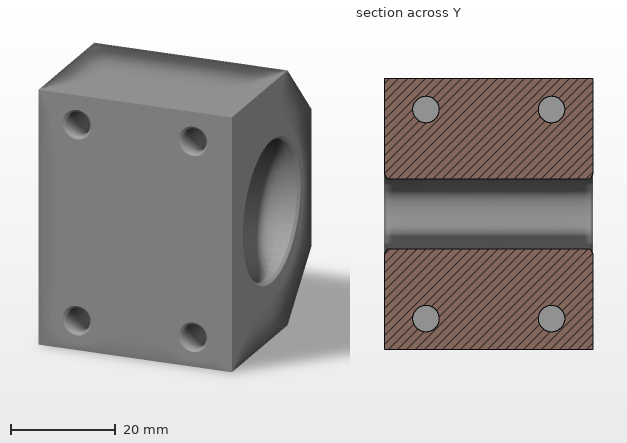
import cadquery as cq

width = 40.0
depth = 40.0
height = 52.0
corner_cut = 12.0

bore_diameter = 28.0
bore_chamfer = 0.5

hole_diameter = 5.0
hole_mouth_diameter = 6.0
hole_depth = 15.0
hole_spacing_x = 24.0
hole_spacing_z = 40.0


def make_block():
    """Rectangular block with both rear edges cut at 45 degrees."""
    block = cq.Workplane("XY").box(width, depth, height)
    return block.faces(">Y").edges("|X").chamfer(corner_cut)


def cut_bore(body):
    """Bore along X through the centre, chamfered at both ends."""
    bore = cq.Workplane("YZ").circle(bore_diameter / 2).extrude(width / 2, both=True)
    bored = body.cut(bore)
    return bored.edges("%CIRCLE").chamfer(bore_chamfer)


def cut_mounting_holes(body):
    """Four blind holes with countersunk mouths in the -Y face."""
    mouth_chamfer = (hole_mouth_diameter - hole_diameter) / 2
    drilled = (
        body.faces("<Y")
        .workplane(centerOption="CenterOfBoundBox")
        .rarray(hole_spacing_x, hole_spacing_z, 2, 2)
        .hole(hole_diameter, hole_depth)
    )
    return drilled.faces("<Y").edges("%CIRCLE").chamfer(mouth_chamfer)


result = cut_mounting_holes(cut_bore(make_block()))